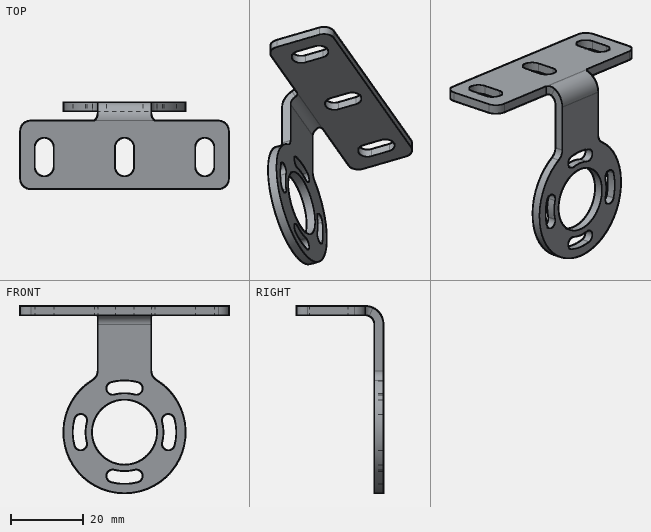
import cadquery as cq
import math

sheet_thickness = 2.6
overall_depth = 24.2
overall_height = 52.0

plate_length = 58.0
plate_corner_radius = 3.0
plate_slot_width = 5.2
plate_slot_length = 10.6
plate_slot_pitch = 22.3
plate_slot_front_offset = 8.95

bend_outer_radius = 5.1
bend_inner_radius = bend_outer_radius - sheet_thickness
bend_mid_radius = (bend_outer_radius + bend_inner_radius) / 2
neck_width = 14.95
neck_fillet_radius = 3.0
flare_radius = 1.8
flare_angle = 24.0
flare_steps = 8

disc_radius = 17.0
bore_diameter = 18.0
arc_slot_count = 4
arc_slot_width = 3.5
arc_slot_path_radius = 12.6
arc_slot_half_angle = 15.0

disc_center_z = disc_radius - overall_height
plate_depth = overall_depth - bend_outer_radius
plate_center_y = -bend_outer_radius - plate_depth / 2
plate_slot_y = -overall_depth + plate_slot_front_offset
half_neck = neck_width / 2


def make_plate():
    plate = (
        cq.Workplane("XY")
        .workplane(offset=-sheet_thickness)
        .center(0, plate_center_y)
        .rect(plate_length, plate_depth)
        .extrude(sheet_thickness)
        .edges("|Z")
        .fillet(plate_corner_radius)
    )
    slots = (
        cq.Workplane("XY")
        .workplane(offset=-sheet_thickness)
        .center(0, plate_slot_y)
        .rarray(plate_slot_pitch, 0.6, 3, 1)
        .slot2D(plate_slot_length, plate_slot_width, 90)
        .extrude(sheet_thickness)
    )
    return plate.cut(slots)


def make_bend_band(width):
    """Quarter-round sheet bend joining the plate to the upright."""
    mid = math.sqrt(0.5)
    outer, inner = bend_outer_radius, bend_inner_radius
    return (
        cq.Workplane("YZ")
        .center(-outer, -outer)
        .moveTo(0, outer)
        .threePointArc((outer * mid, outer * mid), (outer, 0))
        .lineTo(inner, 0)
        .threePointArc((inner * mid, inner * mid), (0, inner))
        .close()
        .extrude(width / 2, both=True)
    )


def flare_section(angle):
    """Rectangle across the sheet at an angle from the plate end of the bend."""
    distance = bend_mid_radius * math.radians(flare_angle - angle)
    half_width = half_neck + flare_radius - math.sqrt(flare_radius**2 - distance**2)
    sine = math.sin(math.radians(angle))
    cosine = math.cos(math.radians(angle))
    overshoot = sheet_thickness / 4
    low = bend_inner_radius - overshoot
    high = bend_outer_radius + overshoot
    corners = [(-half_width, low), (half_width, low), (half_width, high), (-half_width, high)]
    points = [
        cq.Vector(x, radius * sine - bend_outer_radius, radius * cosine - bend_outer_radius)
        for x, radius in corners
    ]
    return cq.Wire.makePolygon(points, close=True)


def make_bend():
    """Neck-wide bend whose sides flare out along an arc where they meet the plate."""
    sections = [flare_section(flare_angle * step / flare_steps) for step in range(flare_steps + 1)]
    flare = cq.Workplane(obj=cq.Solid.makeLoft(sections))
    wide_band = make_bend_band(2 * neck_width)
    return make_bend_band(neck_width).union(wide_band.intersect(flare))


def upright_plane():
    """Rear sheet face, centred on the disc; extrusion runs forward toward -Y."""
    return cq.Workplane("XZ").center(0, disc_center_z)


def arc_slot():
    """Curved slot with round ends above the disc centre."""
    half_angle = math.radians(arc_slot_half_angle)
    outer = arc_slot_path_radius + arc_slot_width / 2
    inner = arc_slot_path_radius - arc_slot_width / 2

    def polar(radius, angle):
        return radius * math.sin(angle), radius * math.cos(angle)

    center_x, center_z = polar(arc_slot_path_radius, half_angle)
    tip_x = center_x + arc_slot_width / 2 * math.cos(half_angle)
    tip_z = center_z - arc_slot_width / 2 * math.sin(half_angle)
    return (
        upright_plane()
        .moveTo(*polar(outer, -half_angle))
        .threePointArc((0, outer), polar(outer, half_angle))
        .threePointArc((tip_x, tip_z), polar(inner, half_angle))
        .threePointArc((0, inner), polar(inner, -half_angle))
        .threePointArc((-tip_x, tip_z), polar(outer, -half_angle))
        .close()
        .extrude(sheet_thickness)
    )


def make_upright():
    neck_top = -bend_outer_radius - disc_center_z
    fillet_x = half_neck + neck_fillet_radius
    fillet_center_distance = disc_radius + neck_fillet_radius
    fillet_z = math.sqrt(fillet_center_distance**2 - fillet_x**2)
    rim_ratio = disc_radius / fillet_center_distance
    rim_x = fillet_x * rim_ratio
    rim_z = fillet_z * rim_ratio
    mid_angle = (math.pi + math.atan2(fillet_z, fillet_x)) / 2 + math.pi / 2
    mid_x = fillet_x + neck_fillet_radius * math.cos(mid_angle)
    mid_z = fillet_z + neck_fillet_radius * math.sin(mid_angle)

    upright = (
        upright_plane()
        .moveTo(-half_neck, neck_top)
        .lineTo(half_neck, neck_top)
        .lineTo(half_neck, fillet_z)
        .threePointArc((mid_x, mid_z), (rim_x, rim_z))
        .threePointArc((0, -disc_radius), (-rim_x, rim_z))
        .threePointArc((-mid_x, mid_z), (-half_neck, fillet_z))
        .close()
        .extrude(sheet_thickness)
    )
    upright = upright.cut(upright_plane().circle(bore_diameter / 2).extrude(sheet_thickness))

    axis_start = (0, 0, disc_center_z)
    axis_end = (0, 1, disc_center_z)
    for index in range(arc_slot_count):
        turn = index * 360 / arc_slot_count
        upright = upright.cut(arc_slot().rotate(axis_start, axis_end, turn))
    return upright


result = make_plate().union(make_bend()).union(make_upright())